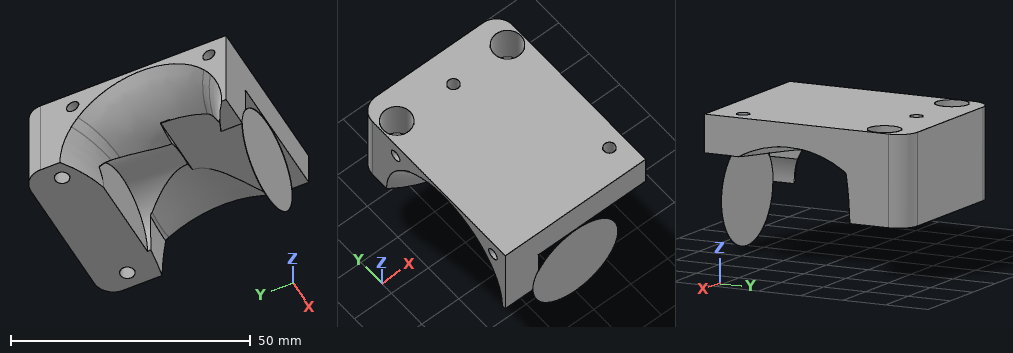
import cadquery as cq
import math

width = 38.0
length = 48.0
height = 20.0
corner_radius = 4.5

disc_diameter = 23.0
disc_thickness = 0.1

bore_depth = 34.0

tunnel_y = 19.95
mouth_radius = 18.95
mouth_corner_start = 31.0
mouth_corner_end = 39.0

throat_x = -9.35
throat_half_width = 14.2
throat_side_bulge = (13.65, 4.3)
throat_corner_start = (12.2, 7.4)
throat_corner_bulge = (11.6, 8.2)
throat_corner_end = (10.85, 8.85)
throat_crown = 11.35

waist_x = 10.55
waist_half_width = 13.1
waist_side_bulge = (12.8, 4.3)
waist_corner_start = (12.2, 7.65)
waist_corner_bulge = (12.0, 7.9)
waist_corner_end = (11.65, 8.15)
waist_crown = 13.2

exit_half_width = 14.4
exit_side_bulge = (14.1, 5.3)
exit_corner_start = (13.55, 10.3)
exit_corner_bulge = (13.25, 10.8)
exit_corner_end = (12.75, 11.15)
exit_crown = 14.9

slot_side_wall = 9.0
slot_height = 11.7

screw_x = 15.0
screw_y = 40.45
screw_diameter = 3.2
counterbore_diameter = 7.2
counterbore_depth = 10.0
pin_diameter = 2.8
pin_y = 40.05
pin_depth = 5.0
front_hole_y = 7.05

side_hole_ys = (4.05, 35.95)
side_hole_z = 15.95
side_hole_depth = 10.0


def tunnel_section(x, half_width, side, start, corner, end, top):
    """Closed arch section at x; points are (offset from the tunnel centre, height)."""
    def mirrored(point):
        return (-point[0], point[1])

    return (
        cq.Workplane("YZ", origin=(x, tunnel_y, 0))
        .moveTo(half_width, 0)
        .threePointArc(side, start)
        .threePointArc(corner, end)
        .threePointArc((0, top), mirrored(end))
        .threePointArc(mirrored(corner), mirrored(start))
        .threePointArc(mirrored(side), (-half_width, 0))
        .close()
        .wires()
        .val()
    )


def mouth_section(x):
    def on_mouth(angle):
        turn = math.radians(angle)
        return (mouth_radius * math.cos(turn), mouth_radius * math.sin(turn))

    return tunnel_section(
        x,
        mouth_radius,
        on_mouth(mouth_corner_start / 2),
        on_mouth(mouth_corner_start),
        on_mouth((mouth_corner_start + mouth_corner_end) / 2),
        on_mouth(mouth_corner_end),
        mouth_radius,
    )


def tunnel():
    throat = tunnel_section(
        throat_x,
        throat_half_width,
        throat_side_bulge,
        throat_corner_start,
        throat_corner_bulge,
        throat_corner_end,
        throat_crown,
    )
    waist = tunnel_section(
        waist_x,
        waist_half_width,
        waist_side_bulge,
        waist_corner_start,
        waist_corner_bulge,
        waist_corner_end,
        waist_crown,
    )
    exit_arch = tunnel_section(
        width / 2,
        exit_half_width,
        exit_side_bulge,
        exit_corner_start,
        exit_corner_bulge,
        exit_corner_end,
        exit_crown,
    )
    sections = [mouth_section(-width / 2), throat, waist, exit_arch]
    return cq.Workplane(obj=cq.Solid.makeLoft(sections))


def bore():
    return (
        cq.Workplane("XZ", origin=(0, disc_thickness, 0))
        .circle(disc_diameter / 2)
        .extrude(disc_thickness - bore_depth)
    )


def front_slot():
    return cq.Workplane().box(
        width - slot_side_wall, tunnel_y, slot_height, centered=False
    ).translate((slot_side_wall - width / 2, 0, 0))


def top_hole(x, y, diameter, depth):
    return (
        cq.Workplane("XY", origin=(x, y, height - depth))
        .circle(diameter / 2)
        .extrude(depth)
    )


def side_hole(y):
    return (
        cq.Workplane("YZ", origin=(-width / 2, y, side_hole_z))
        .circle(pin_diameter / 2)
        .extrude(side_hole_depth)
    )


block = (
    cq.Workplane()
    .box(width, length, height, centered=(True, False, False))
    .edges("|Z and >Y")
    .fillet(corner_radius)
)
body = block.cut(tunnel()).cut(front_slot()).cut(bore())

for x in (-screw_x, screw_x):
    body = body.cut(top_hole(x, screw_y, screw_diameter, height))
    body = body.cut(top_hole(x, screw_y, counterbore_diameter, counterbore_depth))

body = body.cut(top_hole(0, pin_y, pin_diameter, pin_depth))
body = body.cut(top_hole(screw_x, front_hole_y, pin_diameter, height))

for y in side_hole_ys:
    body = body.cut(side_hole(y))

disc = cq.Workplane("XZ").circle(disc_diameter / 2).extrude(-disc_thickness)
result = body.union(disc).clean()